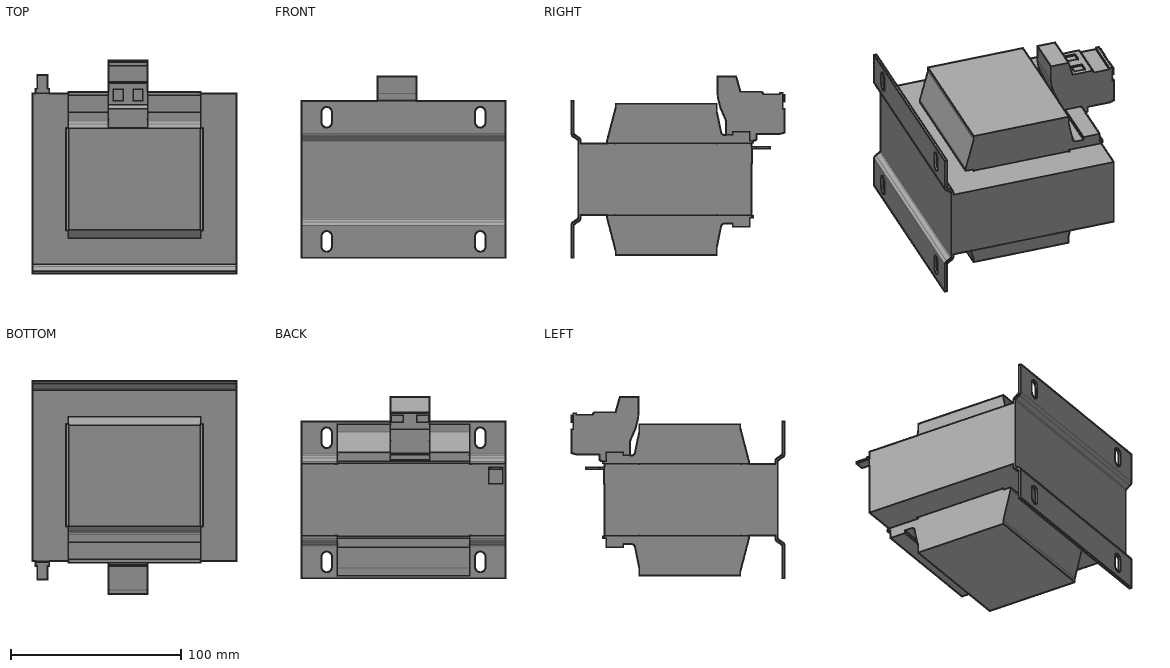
import cadquery as cq
import math


width = 120.0
flange_half_height = 46.1
sheet = 1.5
plate_depth = 5.5
web_bend_z = 23.0
flange_bend_z = 25.7
bend_inner_radius = 1.0
bend_outer_radius = bend_inner_radius + sheet
slot_length = 12.0
slot_width = 6.0
slot_x = 45.1
slot_z = 36.5

core_half_height = 21.0
core_back = 105.8
yoke_front = 85.4
window_front = 25.4
window_half_width = 40.2

coil_half_width = 38.8
coil_top = 44.5
coil_top_front = 25.9
coil_front = 20.9
coil_front_edge_drop = 2.5
coil_front_slope_end_z = 22.7
coil_rear_edge_drop = 4.5
ledge_z = 26.0
ledge_fillet = 2.0
coil_foot_y = 88.3
rail_top = 27.9
rail_front = 94.7
rail_back = 104.8
lip_back = 106.8
lip_bottom = 21.4
lip_top = 22.7

block_width = 23.0
block_center_x = -3.8
block_top = 60.5
block_back = 125.2
block_front = 85.8
block_bend_top = 50.5
block_bend_bottom = 47.0
block_slope_angle = 14.0
block_knee_z = 42.1
block_heel_y = 90.7
block_heel_z = 34.6
block_foot_back = 108.8
block_foot_bottom = 22.7
block_foot_chamfer = 1.0
block_belly_z = 26.5
block_belly_chamfer_y = 2.8
block_belly_chamfer_z = 0.9
marker_face_bottom = 41.6
rim_z = 51.0
rim_front = 122.2
tray_z = 50.0
tray_front = 112.9
shelf_z = 51.5
shelf_back = 111.8
shelf_front = 99.3
block_head_back = 96.8
marker_recess = 1.0
marker_bottom = 45.5
marker_top = 49.6
marker_inner = 4.0
marker_outer = 11.0
pocket_length = 6.6
pocket_width = 5.6
pocket_depth = 1.0
pocket_y = 105.0
pocket_spacing = 11.5

tab_x = -54.1
tab_base_width = 8.1
tab_blade_width = 6.1
tab_shoulder_y = 108.7
tab_tip_y = 116.7
tab_top = 19.2
tab_bottom = 9.4
tab_blade_thickness = 1.3
tab_base_thickness = 0.5


def box(x_range, y_range, z_range):
    """Box between pairs of X, Y and Z limits."""
    (x0, x1), (y0, y1), (z0, z1) = x_range, y_range, z_range
    return cq.Workplane("XY").box(x1 - x0, y1 - y0, z1 - z0, centered=False).translate((x0, y0, z0))


def centered_range(center, size):
    return (center - size / 2, center + size / 2)


def side_sketch(center_x, thickness):
    """Sketch plane for (Y, Z) outlines extruded along +X, centred on center_x."""
    return cq.Workplane("YZ", origin=(center_x - thickness / 2, 0, 0))


def mounting_plate():
    web_front = plate_depth - sheet
    bend_angle = math.atan2(web_front, flange_bend_z - web_bend_z)
    back_shift = sheet * math.tan(bend_angle / 2)
    bends = [
        (plate_depth, web_bend_z + back_shift, bend_outer_radius),
        (sheet, flange_bend_z + back_shift, bend_inner_radius),
        (0, flange_bend_z, bend_outer_radius),
        (web_front, web_bend_z, bend_inner_radius),
    ]
    corners = [(y, z) for y, z, _ in bends]
    upper = corners[:2] + [(sheet, flange_half_height), (0, flange_half_height)] + corners[2:]
    lower = [(y, -z) for y, z in reversed(upper)]
    plate = side_sketch(0, width).polyline(upper + lower).close().extrude(width)
    for y, z, radius in bends:
        for side in (1, -1):
            corner = cq.selectors.NearestToPointSelector((0, y, side * z))
            plate = plate.edges("|X").edges(corner).fillet(radius)
    slots = (
        cq.Workplane("XZ")
        .rarray(2 * slot_x, 2 * slot_z, 2, 2)
        .slot2D(slot_length, slot_width, 90)
        .extrude(-sheet)
    )
    return plate.cut(slots)


def core():
    heights = (-core_half_height, core_half_height)
    body = box((-width / 2, width / 2), (plate_depth, core_back), heights)
    window = box((-window_half_width, window_half_width), (window_front, yoke_front), heights)
    return body.cut(window)


def coil_half():
    """Upper half of the coil with its bobbin rail, from the core's mid-plane up."""
    return (
        side_sketch(0, 2 * coil_half_width)
        .moveTo(window_front, 0)
        .lineTo(window_front, core_half_height)
        .lineTo(coil_front, core_half_height)
        .lineTo(coil_front, coil_front_slope_end_z)
        .lineTo(coil_top_front, coil_top - coil_front_edge_drop)
        .lineTo(coil_top_front, coil_top)
        .lineTo(yoke_front, coil_top)
        .lineTo(yoke_front, coil_top - coil_rear_edge_drop)
        .lineTo(coil_foot_y, ledge_z)
        .lineTo(rail_front, ledge_z)
        .lineTo(rail_front, rail_top)
        .lineTo(rail_back, rail_top)
        .lineTo(rail_back, lip_top)
        .lineTo(lip_back, lip_top)
        .lineTo(lip_back, lip_bottom)
        .lineTo(core_back, lip_bottom)
        .lineTo(core_back, 0)
        .close()
        .extrude(2 * coil_half_width)
        .edges("|X")
        .edges(cq.selectors.NearestToPointSelector((0, coil_foot_y, ledge_z)))
        .fillet(ledge_fillet)
    )


def terminal_block():
    slope = math.radians(block_slope_angle)
    bend_radius = (block_bend_top - block_bend_bottom) / math.sin(slope)
    bend_end = (block_front + bend_radius * (1 - math.cos(slope)), block_bend_bottom)
    bend_middle = (
        block_front + bend_radius * (1 - math.cos(slope / 2)),
        block_bend_top - bend_radius * math.sin(slope / 2),
    )
    knee_y = bend_end[0] + (block_bend_bottom - block_knee_z) * math.tan(slope)
    marker_face = block_back - marker_recess
    block = (
        side_sketch(block_center_x, block_width)
        .moveTo(block_front, block_top)
        .lineTo(block_front, block_bend_top)
        .threePointArc(bend_middle, bend_end)
        .lineTo(knee_y, block_knee_z)
        .lineTo(block_heel_y, block_heel_z)
        .lineTo(block_heel_y, ledge_z)
        .lineTo(rail_front, ledge_z)
        .lineTo(rail_front, rail_top)
        .lineTo(rail_back, rail_top)
        .lineTo(rail_back, block_foot_bottom)
        .lineTo(block_foot_back - block_foot_chamfer, block_foot_bottom)
        .lineTo(block_foot_back, block_foot_bottom + block_foot_chamfer)
        .lineTo(block_foot_back, block_belly_z)
        .lineTo(block_back - block_belly_chamfer_y, block_belly_z)
        .lineTo(block_back, block_belly_z + block_belly_chamfer_z)
        .lineTo(block_back, marker_face_bottom)
        .lineTo(marker_face, marker_face_bottom)
        .lineTo(marker_face, rim_z)
        .lineTo(rim_front, rim_z)
        .lineTo(rim_front, tray_z)
        .lineTo(tray_front, tray_z)
        .lineTo(shelf_back, shelf_z)
        .lineTo(shelf_front, shelf_z)
        .lineTo(block_head_back, block_top)
        .close()
        .extrude(block_width)
    )
    for side in (-1, 1):
        marker_x = centered_range(
            block_center_x + side * (marker_inner + marker_outer) / 2, marker_outer - marker_inner
        )
        marker = box(marker_x, (marker_face, block_back), (marker_bottom, marker_top))
        pocket_x = centered_range(block_center_x + side * pocket_spacing / 2, pocket_width)
        pocket = box(pocket_x, centered_range(pocket_y, pocket_length), (shelf_z - pocket_depth, shelf_z))
        block = block.union(marker).cut(pocket)
    return block


def earth_tab():
    blade_heights = (tab_top - tab_blade_thickness, tab_top)
    base_x = centered_range(tab_x, tab_base_width)
    base = box(base_x, (core_back, core_back + tab_base_thickness), (tab_bottom, tab_top))
    shoulder = box(base_x, (core_back, tab_shoulder_y), blade_heights)
    blade = box(centered_range(tab_x, tab_blade_width), (core_back, tab_tip_y), blade_heights)
    return base.union(shoulder).union(blade)


upper_coil = coil_half()
lower_coil = upper_coil.mirror("XY")

result = core().union(mounting_plate())
for part in (upper_coil, lower_coil, terminal_block(), earth_tab()):
    result = result.union(part)